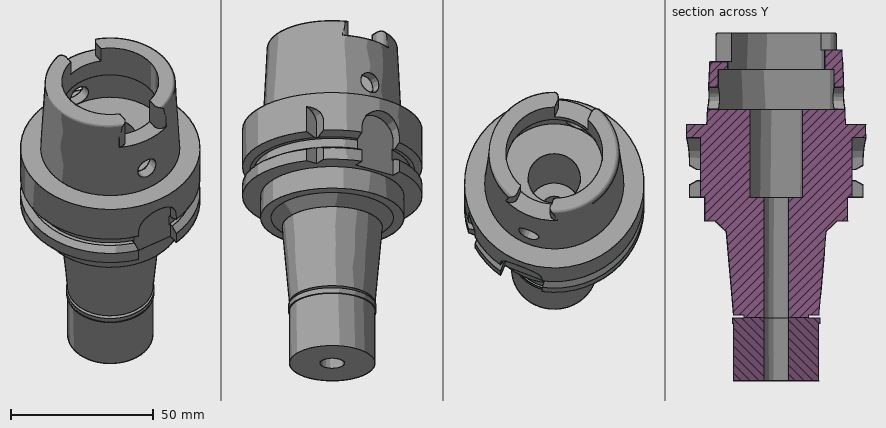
import cadquery as cq
import math

NUT_COLLAR_BOTTOM_Z = 20.1
NUT_TOP_Z = 22.1
NOSE_BOTTOM_Z = 23.0
NOSE_TOP_Z = 52.3
SHOULDER_BOTTOM_Z = 56.0
FLANGE_BOTTOM_Z = 64.3
FLANGE_TOP_Z = 89.9
TOTAL_HEIGHT = 122.0

NUT_RADIUS = 15.0
NUT_COLLAR_RADIUS = 15.4
NECK_RADIUS = 11.3
NOSE_BOTTOM_RADIUS = NUT_RADIUS
NOSE_TOP_RADIUS = 17.6
SHOULDER_CONE_RADIUS = 21.5
SHOULDER_RADIUS = 25.1
FLANGE_RADIUS = 31.5
TAPER_BASE_RADIUS = 24.4
TAPER_SLOPE = 0.05
RIM_FILLET = 1.2

GROOVE_RADIUS = 27.6
GROOVE_EDGE_RADIUS = 28.9
GROOVE_BOTTOM_Z = 70.2
GROOVE_TOP_Z = 74.0
GROOVE_LIP_HEIGHT = 1.5

CROSS_HOLE_RADIUS = 3.8
CROSS_HOLE_Z = 99.1

THROUGH_BORE_RADIUS = 4.3
TUBE_BORE_RADIUS = 9.2
RIM_BORE_RADIUS = 17.0
CAVITY_RADIUS = 20.3
RIM_BORE_BOTTOM_Z = 109.1
CAVITY_BOTTOM_Z = 95.2
TUBE_BORE_BOTTOM_Z = FLANGE_BOTTOM_Z

DRIVE_SLOT_WIDTH = 12.6
DRIVE_SLOT_ROUND = 2.5
DRIVE_SLOT_MOUTH_RADIUS = 23.0
SHALLOW_SLOT_Z = 116.0
DEEP_SLOT_Z = 111.9

KEYWAY_WIDTH = 15.7
KEYWAY_TOP_Z = 85.2
KEYWAY_FLOOR_X = 26.6

NOTCH_WIDTH = 12.5
NOTCH_CENTER_Y = 26.2
NOTCH_TOP_Z = 85.4
NOTCH_FLOOR_X = 20.0


def cylinder(radius, bottom_z, top_z):
    return cq.Workplane("XY").workplane(offset=bottom_z).circle(radius).extrude(top_z - bottom_z)


def taper_radius(z):
    return TAPER_BASE_RADIUS - TAPER_SLOPE * (z - FLANGE_TOP_Z)


def make_turned_body():
    outline = [
        (0, NUT_TOP_Z),
        (NECK_RADIUS, NUT_TOP_Z),
        (NECK_RADIUS, NOSE_BOTTOM_Z),
        (NOSE_BOTTOM_RADIUS, NOSE_BOTTOM_Z),
        (NOSE_TOP_RADIUS, NOSE_TOP_Z),
        (SHOULDER_CONE_RADIUS, SHOULDER_BOTTOM_Z),
        (SHOULDER_RADIUS, SHOULDER_BOTTOM_Z),
        (SHOULDER_RADIUS, FLANGE_BOTTOM_Z),
        (FLANGE_RADIUS, FLANGE_BOTTOM_Z),
        (FLANGE_RADIUS, GROOVE_BOTTOM_Z - GROOVE_LIP_HEIGHT),
        (GROOVE_EDGE_RADIUS, GROOVE_BOTTOM_Z),
        (GROOVE_RADIUS, GROOVE_BOTTOM_Z),
        (GROOVE_RADIUS, GROOVE_TOP_Z),
        (GROOVE_EDGE_RADIUS, GROOVE_TOP_Z),
        (FLANGE_RADIUS, GROOVE_TOP_Z + GROOVE_LIP_HEIGHT),
        (FLANGE_RADIUS, FLANGE_TOP_Z),
        (TAPER_BASE_RADIUS, FLANGE_TOP_Z),
        (taper_radius(TOTAL_HEIGHT), TOTAL_HEIGHT),
        (0, TOTAL_HEIGHT),
    ]
    body = cq.Workplane("XZ").polyline(outline).close().revolve(360, (0, 0), (0, 1))
    return body.faces(">Z").edges().fillet(RIM_FILLET)


def make_bores():
    bores = cylinder(THROUGH_BORE_RADIUS, NUT_TOP_Z, TOTAL_HEIGHT)
    bores = bores.union(cylinder(TUBE_BORE_RADIUS, TUBE_BORE_BOTTOM_Z, TOTAL_HEIGHT))
    bores = bores.union(cylinder(CAVITY_RADIUS, CAVITY_BOTTOM_Z, RIM_BORE_BOTTOM_Z))
    return bores.union(cylinder(RIM_BORE_RADIUS, RIM_BORE_BOTTOM_Z, TOTAL_HEIGHT))


def make_drive_slot(side, floor_z):
    """Slot through the rim toward side (-1 or +1) along X, flared by a round at its outer corners."""
    half_width = DRIVE_SLOT_WIDTH / 2
    center_distance = DRIVE_SLOT_MOUTH_RADIUS - DRIVE_SLOT_ROUND
    center_y = half_width + DRIVE_SLOT_ROUND
    center_x = math.sqrt(center_distance**2 - center_y**2)
    outer_angle = math.asin(center_y / center_distance)
    outer_x = DRIVE_SLOT_MOUTH_RADIUS * math.cos(outer_angle)
    outer_y = DRIVE_SLOT_MOUTH_RADIUS * math.sin(outer_angle)
    middle_angle = (outer_angle - math.pi / 2) / 2
    middle_x = center_x + DRIVE_SLOT_ROUND * math.cos(middle_angle)
    middle_y = center_y + DRIVE_SLOT_ROUND * math.sin(middle_angle)
    return (
        cq.Workplane("XY")
        .workplane(offset=floor_z)
        .moveTo(0, -half_width)
        .lineTo(side * center_x, -half_width)
        .threePointArc((side * middle_x, -middle_y), (side * outer_x, -outer_y))
        .lineTo(side * FLANGE_RADIUS, -outer_y)
        .lineTo(side * FLANGE_RADIUS, outer_y)
        .lineTo(side * outer_x, outer_y)
        .threePointArc((side * middle_x, middle_y), (side * center_x, half_width))
        .lineTo(0, half_width)
        .close()
        .extrude(TOTAL_HEIGHT - floor_z)
    )


def make_cross_hole():
    return (
        cq.Workplane("YZ")
        .center(0, CROSS_HOLE_Z)
        .circle(CROSS_HOLE_RADIUS)
        .extrude(FLANGE_RADIUS, both=True)
    )


def make_round_topped_slot(side, center_y, width, top_z, floor_x):
    """Slot open below the flange, cut inward along X from side (-1 or +1) to floor_x."""
    radius = width / 2
    return (
        cq.Workplane("YZ")
        .workplane(offset=side * floor_x)
        .moveTo(center_y - radius, FLANGE_BOTTOM_Z)
        .lineTo(center_y - radius, top_z - radius)
        .threePointArc((center_y, top_z), (center_y + radius, top_z - radius))
        .lineTo(center_y + radius, FLANGE_BOTTOM_Z)
        .close()
        .extrude(side * FLANGE_RADIUS)
    )


def make_holder():
    holder = make_turned_body().cut(make_bores()).cut(make_cross_hole())
    for side, floor_z in ((-1, SHALLOW_SLOT_Z), (1, DEEP_SLOT_Z)):
        holder = holder.cut(make_drive_slot(side, floor_z))
        holder = holder.cut(make_round_topped_slot(side, 0, KEYWAY_WIDTH, KEYWAY_TOP_Z, KEYWAY_FLOOR_X))
    return holder.cut(make_round_topped_slot(-1, NOTCH_CENTER_Y, NOTCH_WIDTH, NOTCH_TOP_Z, NOTCH_FLOOR_X))


def make_nut():
    nut = cylinder(NUT_RADIUS, 0, NUT_TOP_Z)
    nut = nut.union(cylinder(NUT_COLLAR_RADIUS, NUT_COLLAR_BOTTOM_Z, NUT_TOP_Z))
    return nut.cut(cylinder(THROUGH_BORE_RADIUS, 0, NUT_TOP_Z))


holder = make_holder()
nut = make_nut()
result = cq.Compound.makeCompound([holder.val(), nut.val()])